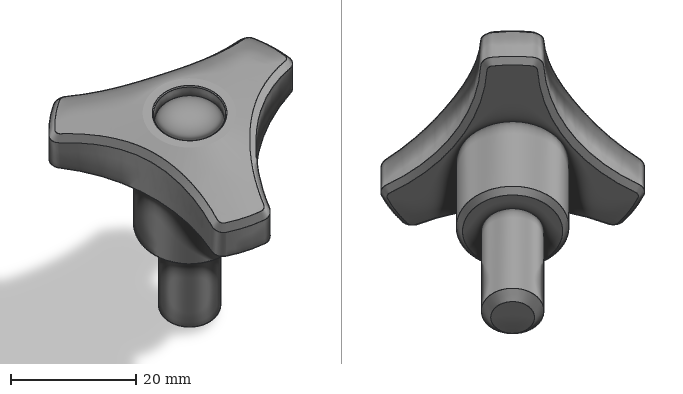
import cadquery as cq

total_height = 47.0
hub_bottom = 19.98
head_bottom = 35.95

stud_diameter = 10.0
stud_chamfer = 1.5
hub_diameter = 18.0
hub_chamfer = 1.0

arm_count = 3
tip_radius = 22.5
waist_radius = 10.85
flank_radius = 32.9
corner_radius = 2.0
edge_chamfer = 1.0

crown_flat_radius = 7.45
crown_rim_radius = 21.5
crown_drop = 3.15
recess_radius = 5.95
recess_floor_radius = 5.6
recess_depth = 2.0
recess_rim_bevel = 0.2

edge_selection_gap = 0.05


def chamfered_cylinder(diameter, bottom, top, chamfer):
    """Upright cylinder with a chamfered lower edge."""
    cylinder = cq.Workplane("XY").workplane(offset=bottom).circle(diameter / 2).extrude(top - bottom)
    return cylinder.faces("<Z").chamfer(chamfer)


def make_head_blank():
    """Disc with a concave cut between each pair of arms and rounded arm corners."""
    head_height = total_height - head_bottom
    blank = cq.Workplane("XY").workplane(offset=head_bottom).circle(tip_radius).extrude(head_height)
    cutters = (
        cq.Workplane("XY")
        .workplane(offset=head_bottom)
        .polarArray(waist_radius + flank_radius, -90, 360, arm_count)
        .circle(flank_radius)
        .extrude(head_height)
    )
    return blank.cut(cutters).edges("|Z").fillet(corner_radius)


def make_crown_envelope():
    """Cone-topped solid that bounds the head from above."""
    slope = crown_drop / (crown_rim_radius - crown_flat_radius)
    outer_radius = tip_radius + edge_chamfer
    outer_height = total_height - slope * (outer_radius - crown_flat_radius)
    return (
        cq.Workplane("XZ")
        .moveTo(0, head_bottom)
        .lineTo(outer_radius, head_bottom)
        .lineTo(outer_radius, outer_height)
        .lineTo(crown_flat_radius, total_height)
        .lineTo(0, total_height)
        .close()
        .revolve(360, (0, 0, 0), (0, 1, 0))
    )


def bevel_crown_rim(head):
    """Chamfer the rim where the conical crown meets the side walls."""
    crown = head.faces("%CONE").faces(">Z")
    rim_zone = cq.selectors.BoxSelector(
        (-tip_radius, -tip_radius, head_bottom),
        (tip_radius, tip_radius, total_height - edge_selection_gap),
    )
    return crown.edges(rim_zone).chamfer(edge_chamfer)


def make_recess():
    """Tapered round pocket in the crown with a bevelled rim."""
    floor_height = total_height - recess_depth
    profile = [
        (0, floor_height),
        (recess_floor_radius, floor_height),
        (recess_radius - recess_rim_bevel, total_height - recess_rim_bevel),
        (recess_radius, total_height),
        (0, total_height),
    ]
    return cq.Workplane("XZ").polyline(profile).close().revolve(360, (0, 0, 0), (0, 1, 0))


head = make_head_blank().intersect(make_crown_envelope())
head = head.faces("<Z").chamfer(edge_chamfer)
head = bevel_crown_rim(head)
hub = chamfered_cylinder(hub_diameter, hub_bottom, head_bottom, hub_chamfer)
stud = chamfered_cylinder(stud_diameter, 0, hub_bottom, stud_chamfer)
result = head.union(hub).union(stud).cut(make_recess())